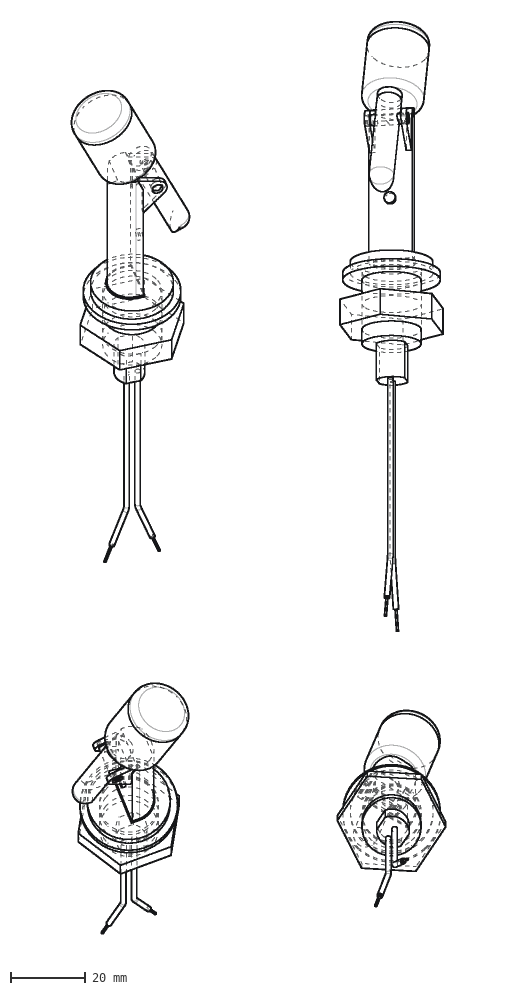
import cadquery as cq
import math


gasket_diameter = 26.42
gasket_thickness = 2.1
flange_diameter = 22.4
flange_top = 5.15
neck_diameter = 16.0
neck_length = 18.0

nut_across_flats = 25.4
nut_top = -6.7
nut_height = 7.2

boss_width = 7.9
boss_depth = 8.3
boss_flat_width = 4.1
boss_length = 10.2

stem_offset = -0.75
stem_radius = 6.05
stem_back = 1.4
stem_top = 48.3
stem_round_start = 43.7
stem_round_radius = 7.8
collar_margin = 0.3
collar_height = 0.4
button_diameter = 3.1
button_height = 1.1
button_z = 22.6

pin_y = 5.45
pin_z = 43.75
pin_diameter = 3.0

ear_inner = 4.35
ear_outer = 5.8
ear_radius = 2.7
ear_top_slope = math.radians(16)
ear_bottom_slope = math.radians(45)

lever_tilt = 22.5
lever_radius = 3.35
lever_top = 6.7
lever_clearance = 0.05
elbow_drop = 19.1

float_radius = 8.45
float_offset = 3.4
float_bottom = 8.6
float_joint = 27.65
float_top = 30.77
float_round = 1.8

wire_diameter = 1.5
conductor_diameter = 0.6
wire_spacing = 3.08
wire_bend_z = -77.7
wire_bend_radius = 5.0
wire_splay = math.radians(18.5)
wire_tail_length = 12.46
conductor_length = 6.0

neck_bottom = -neck_length
boss_bottom = neck_bottom - boss_length
pin_length = 2 * ear_outer


def cylinder_z(diameter, bottom, top):
    """Upright cylinder on the Z axis."""
    return cq.Workplane("XY").workplane(offset=bottom).circle(diameter / 2).extrude(top - bottom)


def cylinder_x(diameter, length):
    """Cylinder along X, centred on the lever pivot."""
    pivot = cq.Workplane("YZ", origin=(0, pin_y, pin_z))
    return pivot.circle(diameter / 2).extrude(length / 2, both=True)


def swing(local_body):
    """Carry a body from the upright lever frame (pivot at the origin) to its tilted place."""
    return local_body.rotate((0, 0, 0), (1, 0, 0), lever_tilt).translate((0, pin_y, pin_z))


def make_boss():
    """Cable boss with flat sides across X and bowed faces across Y."""
    side = boss_width / 2
    corner = boss_flat_width / 2
    return (
        cq.Workplane("XY", origin=(0, stem_offset, boss_bottom))
        .moveTo(-side, -corner)
        .threePointArc((0, -boss_depth / 2), (side, -corner))
        .lineTo(side, corner)
        .threePointArc((0, boss_depth / 2), (-side, corner))
        .close()
        .extrude(boss_length)
    )


def stem_section(margin):
    """U-shaped outline, round at the front and flat at the back, grown by a margin."""
    radius = stem_radius + margin
    back = stem_back + margin
    return (
        cq.Workplane("XY", origin=(0, 0, flange_top))
        .moveTo(-radius, back)
        .lineTo(-radius, stem_offset)
        .threePointArc((0, stem_offset - radius), (radius, stem_offset))
        .lineTo(radius, back)
        .close()
    )


def make_stem():
    """Stem with its top corner rounded at the front."""
    stem = stem_section(0).extrude(stem_top - flange_top)
    front = stem_offset - stem_radius
    rise = stem_top - stem_round_start
    half_angle = math.asin(rise / stem_round_radius) / 2
    inset = stem_round_radius * (1 - math.cos(2 * half_angle))
    middle = (
        front + stem_round_radius * (1 - math.cos(half_angle)),
        stem_round_start + stem_round_radius * math.sin(half_angle),
    )
    front_corner = (
        cq.Workplane("YZ")
        .moveTo(front, stem_round_start)
        .threePointArc(middle, (front + inset, stem_top))
        .lineTo(front, stem_top)
        .close()
        .extrude(stem_radius, both=True)
    )
    return stem.cut(front_corner)


def make_lever_relief():
    """Tilted block that bevels the back of the stem top along the lever."""
    reach = 2 * float_radius
    block = cq.Workplane("XY").box(2 * stem_radius, reach, 2 * reach)
    front_face = -(lever_radius + lever_clearance)
    return swing(block.translate((0, front_face + reach / 2, 0)))


def make_ears():
    """Pair of pivot ears reaching from the stem back around the pin."""
    root = stem_offset
    top_tangent = (
        pin_y + ear_radius * math.sin(ear_top_slope),
        pin_z + ear_radius * math.cos(ear_top_slope),
    )
    bottom_tangent = (
        pin_y + ear_radius * math.sin(ear_bottom_slope),
        pin_z - ear_radius * math.cos(ear_bottom_slope),
    )
    root_top = top_tangent[1] + (top_tangent[0] - root) * math.tan(ear_top_slope)
    root_bottom = bottom_tangent[1] - (bottom_tangent[0] - root) * math.tan(ear_bottom_slope)
    ear = (
        cq.Workplane("YZ", origin=(ear_inner, 0, 0))
        .moveTo(root, min(root_top, stem_top))
        .lineTo(*top_tangent)
        .threePointArc((pin_y + ear_radius, pin_z), bottom_tangent)
        .lineTo(root, root_bottom)
        .close()
        .extrude(ear_outer - ear_inner)
    )
    return ear.union(ear.mirror("YZ"))


def make_button():
    """Round stop button on the flat back of the stem."""
    back = cq.Workplane("XZ", origin=(0, stem_back, button_z))
    return back.circle(button_diameter / 2).extrude(-button_height)


def make_housing():
    return (
        make_stem()
        .cut(make_lever_relief())
        .union(make_ears())
        .union(make_button())
        .union(stem_section(collar_margin).extrude(collar_height))
        .union(cylinder_z(flange_diameter, gasket_thickness, flange_top))
        .union(cylinder_z(neck_diameter, neck_bottom, gasket_thickness))
        .union(make_boss())
        .cut(cylinder_x(pin_diameter, pin_length))
    )


def make_gasket():
    ring = cylinder_z(gasket_diameter, 0, gasket_thickness)
    return ring.cut(cylinder_z(neck_diameter, 0, gasket_thickness))


def make_nut():
    across_corners = nut_across_flats / math.cos(math.pi / 6)
    nut_bottom = nut_top - nut_height
    hexagon = (
        cq.Workplane("XY", origin=(0, 0, nut_bottom))
        .transformed(rotate=(0, 0, 30))
        .polygon(6, across_corners)
        .extrude(nut_height)
    )
    return hexagon.cut(cylinder_z(neck_diameter, nut_bottom, nut_top))


def make_pin():
    pin_radius = pin_diameter / 2
    tip_centre = ear_outer - pin_radius
    pin = cylinder_x(pin_diameter, 2 * tip_centre)
    tip = cq.Workplane("XY").sphere(pin_radius)
    for side in (-1, 1):
        pin = pin.union(tip.translate((side * tip_centre, pin_y, pin_z)))
    return pin


def make_lever():
    rod = cylinder_z(2 * lever_radius, -elbow_drop, lever_top)
    elbow = cq.Workplane("XY").sphere(lever_radius).translate((0, 0, -elbow_drop))
    stub = cq.Workplane("XZ", origin=(0, 0, -elbow_drop)).circle(lever_radius).extrude(lever_radius)
    trim = cylinder_z(2 * lever_radius, -elbow_drop - lever_radius, 0)
    lever = rod.union(elbow).union(stub.intersect(trim))
    return swing(lever).cut(cylinder_x(pin_diameter, pin_length))


def make_float():
    body = cylinder_z(2 * float_radius, float_bottom, float_joint)
    body = body.faces("<Z").edges().fillet(float_round)
    stub = cylinder_z(2 * lever_radius, lever_top, float_bottom)
    return swing(body.translate((0, -float_offset, 0)).union(stub))


def make_float_cap():
    cap = cylinder_z(2 * float_radius, float_joint, float_top)
    cap = cap.faces(">Z").edges().fillet(float_round)
    return swing(cap.translate((0, -float_offset, 0)))


def make_wire(side):
    """One lead; side is +1 or -1 along Y."""

    def point(outward, z):
        return (side * (wire_spacing / 2 + outward), z)

    def bend_point(angle):
        outward = wire_bend_radius * (1 - math.cos(angle))
        return point(outward, wire_bend_z - wire_bend_radius * math.sin(angle))

    bend_end = bend_point(wire_splay)
    direction = (side * math.sin(wire_splay), -math.cos(wire_splay))
    tail_end = (
        bend_end[0] + wire_tail_length * direction[0],
        bend_end[1] + wire_tail_length * direction[1],
    )
    path = (
        cq.Workplane("YZ")
        .moveTo(*point(0, boss_bottom))
        .lineTo(*point(0, wire_bend_z))
        .threePointArc(bend_point(wire_splay / 2), bend_end)
        .lineTo(*tail_end)
    )
    start = cq.Workplane("XY", origin=(0, point(0, 0)[0], boss_bottom))
    insulation = start.circle(wire_diameter / 2).sweep(path)
    tip_plane = cq.Plane(origin=(0, *tail_end), xDir=(1, 0, 0), normal=(0, *direction))
    conductor = cq.Workplane(tip_plane).circle(conductor_diameter / 2).extrude(conductor_length)
    return insulation.union(conductor)


housing = make_housing()
gasket = make_gasket()
nut = make_nut()
pin = make_pin()
lever = make_lever()
float_body = make_float()
float_cap = make_float_cap()
wires = [make_wire(side) for side in (-1, 1)]

result = cq.Compound.makeCompound(
    [
        housing.val(),
        gasket.val(),
        nut.val(),
        pin.val(),
        lever.val(),
        float_body.val(),
        float_cap.val(),
        *[wire.val() for wire in wires],
    ]
)